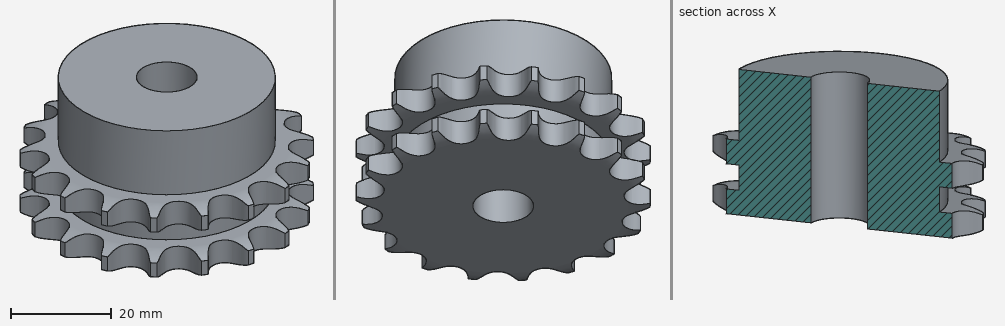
import cadquery as cq
import math


tooth_count = 18
pitch_diameter = 54.85
roller_diameter = 6.35
roller_clearance = 0.038
tip_diameter = 58.3

strand_thickness = 5.2
strand_spacing = 10.25
strand_count = 2
side_relief_diameter = 49.7
side_relief_radius = 9.95

hub_diameter = 43.0
bore_diameter = 12.0
total_height = 30.0

half_tooth_angle = 180 / tooth_count
seat_end_angle = 35 + 60 / tooth_count
working_arc_angle = 18 - 56 / tooth_count
topping_angle = 17 - 64 / tooth_count
flank_angle = seat_end_angle - working_arc_angle

working_center_distance = 0.8 * roller_diameter
topping_center_distance = 1.4 * roller_diameter
seat_radius = 0.5025 * roller_diameter + roller_clearance
working_radius = working_center_distance + seat_radius
topping_radius = (
    working_center_distance * math.cos(math.radians(working_arc_angle))
    + topping_center_distance * math.cos(math.radians(topping_angle))
    - working_radius
)

gap_mouth_angle = 125


def polar(center, radius, angle):
    """Point at the given radius and angle (degrees) from a center."""
    turn = math.radians(angle)
    return (center[0] + radius * math.cos(turn), center[1] + radius * math.sin(turn))


def mirrored(point):
    return (-point[0], point[1])


def tooth_gap():
    """Cutter for one gap centered on +Y: roller seat, working arcs, flanks and topping arcs."""
    roller_center = (0, pitch_diameter / 2)
    working_center = polar(roller_center, working_center_distance, 180 - seat_end_angle)
    topping_center = polar(roller_center, topping_center_distance, -half_tooth_angle)

    seat_bottom = polar(roller_center, seat_radius, -90)
    seat_end = polar(roller_center, seat_radius, -seat_end_angle)
    working_middle = polar(working_center, working_radius, -(seat_end_angle + flank_angle) / 2)
    working_end = polar(working_center, working_radius, -flank_angle)

    flank_end = polar(topping_center, topping_radius, 180 - flank_angle)
    topping_middle = polar(topping_center, topping_radius, (180 - flank_angle + gap_mouth_angle) / 2)
    mouth = polar(topping_center, topping_radius, gap_mouth_angle)

    return (
        cq.Workplane("XY")
        .moveTo(*mirrored(mouth))
        .threePointArc(mirrored(topping_middle), mirrored(flank_end))
        .lineTo(*mirrored(working_end))
        .threePointArc(mirrored(working_middle), mirrored(seat_end))
        .threePointArc(seat_bottom, seat_end)
        .threePointArc(working_middle, working_end)
        .lineTo(*flank_end)
        .threePointArc(topping_middle, mouth)
        .close()
        .extrude(strand_thickness)
    )


def strand_blank():
    """Disc standing on Z = 0 whose rim narrows on both sides along a tangent arc."""
    relief_start = side_relief_diameter / 2
    tip = tip_diameter / 2
    relief_angle = math.degrees(math.asin((tip - relief_start) / side_relief_radius))
    lower_center = (relief_start, side_relief_radius)
    upper_center = (relief_start, strand_thickness - side_relief_radius)

    return (
        cq.Workplane("XZ")
        .lineTo(relief_start, 0)
        .threePointArc(
            polar(lower_center, side_relief_radius, -90 + relief_angle / 2),
            polar(lower_center, side_relief_radius, -90 + relief_angle),
        )
        .lineTo(*polar(upper_center, side_relief_radius, 90 - relief_angle))
        .threePointArc(
            polar(upper_center, side_relief_radius, 90 - relief_angle / 2),
            (relief_start, strand_thickness),
        )
        .lineTo(0, strand_thickness)
        .close()
        .revolve(360, (0, 0, 0), (0, 1, 0))
    )


def toothed_strand():
    strand = strand_blank()
    gap = tooth_gap()
    for index in range(tooth_count):
        strand = strand.cut(gap.rotate((0, 0, 0), (0, 0, 1), index * 360 / tooth_count))
    return strand


result = cq.Workplane("XY").circle(hub_diameter / 2).extrude(total_height)

strand = toothed_strand()
for index in range(strand_count):
    result = result.union(strand.translate((0, 0, index * strand_spacing)))

bore = cq.Workplane("XY").circle(bore_diameter / 2).extrude(total_height)
result = result.cut(bore)